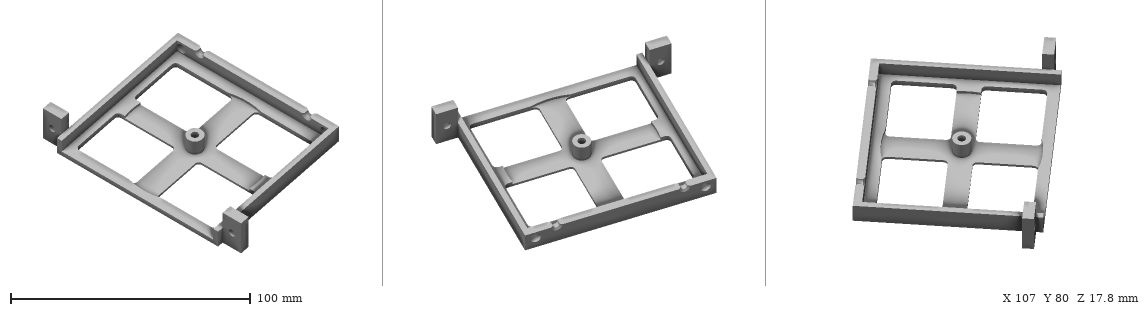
import cadquery as cq

tray_width = 87.0
tray_length = 80.0
tray_height = 8.85
floor_thickness = 2.5
side_wall = 2.6
back_wall = 3.75
front_y = -38.0
back_y = front_y + tray_length
back_wall_y = back_y - back_wall
inner_width = tray_width - 2 * side_wall

window_outer_x = 37.6
window_outer_y = 32.8
cross_half_width_x = 6.0
cross_half_width_y = 5.2
window_corner_radius = 2.0

recess_radius = 34.0
recess_depth = 1.3
boss_diameter = 8.0
screw_diameter = 3.6

wall_hole_diameter = 4.64
wall_hole_x = inner_width / 2 - wall_hole_diameter / 2
wall_hole_z = 5.4
notch_x = 29.0
notch_z = 8.9
notch_diameter = 3.14
notch_mouth_diameter = 5.2
notch_flare_depth = 0.75

ear_width = 10.0
ear_thickness = 5.0
ear_height = 17.8
ear_setback = 3.0
ear_hole_z = ear_height / 2
ear_x = (tray_width + ear_width) / 2
ear_front_y = front_y + ear_setback


def block(width, length, height, center_x, start_y, start_z):
    """Box centred on center_x, growing in +Y and +Z from its start values."""
    box = cq.Workplane("XY").box(width, length, height, centered=(True, False, False))
    return box.translate((center_x, start_y, start_z))


def rod_along_y(diameter, x, z, start_y, length):
    """Cylinder running in +Y from start_y."""
    axis_start = cq.Vector(x, start_y, z)
    return cq.Workplane(cq.Solid.makeCylinder(diameter / 2, length, axis_start, cq.Vector(0, 1, 0)))


def tray():
    """Floor with side and back walls, open at the front and the top."""
    outer = block(tray_width, tray_length, tray_height, 0, front_y, 0)
    cavity = block(
        inner_width, tray_length - back_wall, tray_height - floor_thickness, 0, front_y, floor_thickness
    )
    return outer.cut(cavity)


def recess():
    """Shallow disc that thins the middle of the floor."""
    bottom = floor_thickness - recess_depth
    return cq.Workplane("XY").workplane(offset=bottom).circle(recess_radius).extrude(recess_depth)


def windows():
    """Four rounded openings around the cross."""
    width = window_outer_x - cross_half_width_x
    length = window_outer_y - cross_half_width_y
    center_x = (window_outer_x + cross_half_width_x) / 2
    center_y = (window_outer_y + cross_half_width_y) / 2
    return (
        cq.Workplane("XY")
        .rarray(2 * center_x, 2 * center_y, 2, 2)
        .rect(width, length)
        .extrude(floor_thickness)
        .edges("|Z")
        .fillet(window_corner_radius)
    )


def notch(x):
    """Half-round groove across the top of the back wall, flared at both faces."""
    groove = rod_along_y(notch_diameter, x, notch_z, back_wall_y, back_wall)
    for face_y, direction in ((back_wall_y, 1), (back_y, -1)):
        flare = cq.Solid.makeCone(
            notch_mouth_diameter / 2,
            notch_diameter / 2,
            notch_flare_depth,
            cq.Vector(x, face_y, notch_z),
            cq.Vector(0, direction, 0),
        )
        groove = groove.union(cq.Workplane(flare))
    return groove


def ear(x):
    """Upright mounting block with a screw hole along Y."""
    body = block(ear_width, ear_thickness, ear_height, x, ear_front_y, 0)
    return body.cut(rod_along_y(screw_diameter, x, ear_hole_z, ear_front_y, ear_thickness))


def boss():
    """Round post in the middle of the recess."""
    return cq.Workplane("XY").circle(boss_diameter / 2).extrude(tray_height)


def boss_hole():
    """Screw hole through the boss and the floor."""
    return cq.Workplane("XY").circle(screw_diameter / 2).extrude(tray_height)


def wall_hole(x):
    """Plain round hole through the back wall, next to a side wall."""
    return rod_along_y(wall_hole_diameter, x, wall_hole_z, back_wall_y, back_wall)


result = tray().cut(recess()).cut(windows()).union(boss()).cut(boss_hole())
for side in (-1, 1):
    result = result.cut(wall_hole(side * wall_hole_x))
    result = result.cut(notch(side * notch_x))
    result = result.union(ear(side * ear_x))